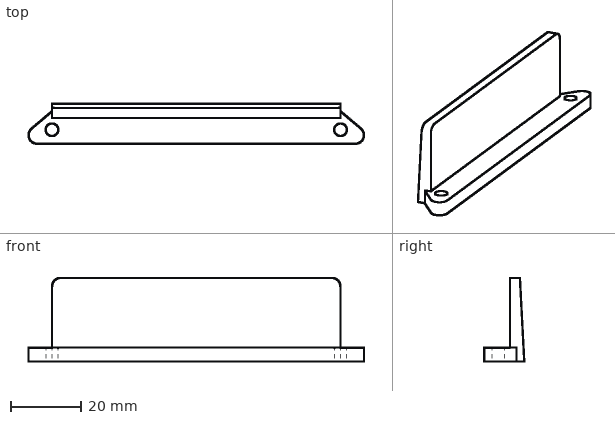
import cadquery as cq
import math

length = 95.4
depth = 11.45
height = 23.9

base_thickness = 4.0
end_radius = 2.5
shoulder_y = 9.3
hole_diameter = 3.5
hole_y = 4.0

wall_length = 82.1
wall_bottom_thickness = 4.1
wall_top_thickness = 2.9
wall_corner_radius = 2.5

half_wall = wall_length / 2
wall_front_y = depth - wall_bottom_thickness
hole_spacing = wall_length


def make_base():
    """Flat base whose rounded ends run tangentially into sloping shoulders."""
    end_center_x = length / 2 - end_radius
    end_center_y = end_radius

    shoulder_dx = half_wall - end_center_x
    shoulder_dy = shoulder_y - end_center_y
    shoulder_distance = math.hypot(shoulder_dx, shoulder_dy)
    tangent_angle = math.atan2(shoulder_dy, shoulder_dx) - math.acos(end_radius / shoulder_distance)
    tangent_x = end_center_x + end_radius * math.cos(tangent_angle)
    tangent_y = end_center_y + end_radius * math.sin(tangent_angle)

    outer_x = length / 2
    return (
        cq.Workplane("XY")
        .moveTo(-end_center_x, 0)
        .lineTo(end_center_x, 0)
        .threePointArc((outer_x, end_center_y), (tangent_x, tangent_y))
        .lineTo(half_wall, shoulder_y)
        .lineTo(-half_wall, shoulder_y)
        .lineTo(-tangent_x, tangent_y)
        .threePointArc((-outer_x, end_center_y), (-end_center_x, 0))
        .close()
        .extrude(base_thickness)
    )


def make_wall():
    """Tapered upright wall with rounded top corners."""
    profile = [
        (wall_front_y, 0),
        (depth, 0),
        (wall_front_y + wall_top_thickness, height),
        (wall_front_y, height),
    ]
    tapered = cq.Workplane("YZ").polyline(profile).close().extrude(half_wall, both=True)
    rounded_outline = (
        cq.Workplane("XZ")
        .rect(wall_length, 2 * height)
        .extrude(-depth)
        .edges("|Y and >Z")
        .fillet(wall_corner_radius)
    )
    return tapered.intersect(rounded_outline)


def make_holes():
    """Cutters for the screw holes through the base."""
    return (
        cq.Workplane("XY")
        .pushPoints([(-hole_spacing / 2, hole_y), (hole_spacing / 2, hole_y)])
        .circle(hole_diameter / 2)
        .extrude(base_thickness)
    )


result = make_base().union(make_wall()).cut(make_holes())